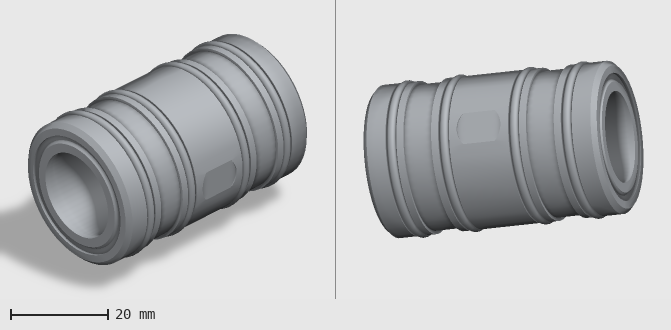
import cadquery as cq

length = 50.8
outer_radius = 15.9
bore_radius = 9.55
end_chamfer = 1.0

face_groove_outer_radius = 13.3
face_groove_inner_radius = 11.55
face_groove_taper = 0.55
face_groove_depth = 0.6

ring_section_diameter = 1.8
ring_section_radius = ring_section_diameter / 2
ring_outer_diameter = 32.65
ring_outer_radius = ring_outer_diameter / 2
ring_distances = (7.6, 19.1)
ring_centre_radius = ring_outer_radius - ring_section_radius
ring_groove_radius = ring_centre_radius - ring_section_radius
ring_groove_width = 2.4
ring_positions = [side * distance for side in (-1, 1) for distance in ring_distances]

waist_radius = 15.2
waist_width = 6.05
waist_distance = sum(ring_distances) / len(ring_distances)

spot_radius = 4.8
spot_depth = 0.35


def cylinder_on_y(radius, width, position):
    """Solid cylinder along Y whose middle is at the given Y position."""
    start = cq.Workplane("XZ", origin=(0, position + width / 2, 0))
    return start.circle(radius).extrude(width)


def outer_groove(floor_radius, width, position):
    """Ring of material to remove from the outside of the sleeve."""
    clearance_radius = outer_radius + end_chamfer
    blank = cylinder_on_y(clearance_radius, width, position)
    return blank.cut(cylinder_on_y(floor_radius, width, position))


def face_groove():
    """Groove cutter for the -Y end face, revolved about Y."""
    face = -length / 2
    floor = face + face_groove_depth
    profile = [
        (face_groove_inner_radius, face),
        (face_groove_outer_radius, face),
        (face_groove_outer_radius, floor),
        (face_groove_inner_radius + face_groove_taper, floor),
    ]
    return cq.Workplane("XY").polyline(profile).close().revolve(360, (0, 0, 0), (0, 1, 0))


def spot_face():
    """Disc cutter that leaves a round flat on the +X side."""
    floor = cq.Workplane("YZ", origin=(outer_radius - spot_depth, 0, 0))
    return floor.circle(spot_radius).extrude(2 * spot_depth)


def make_sleeve():
    body = cylinder_on_y(outer_radius, length, 0).faces("<Y or >Y").chamfer(end_chamfer)
    body = body.cut(cylinder_on_y(bore_radius, length, 0))
    for position in ring_positions:
        body = body.cut(outer_groove(ring_groove_radius, ring_groove_width, position))
    for position in (-waist_distance, waist_distance):
        body = body.cut(outer_groove(waist_radius, waist_width, position))
    end_groove = face_groove()
    body = body.cut(end_groove).cut(end_groove.mirror("XZ"))
    return body.cut(spot_face())


def make_o_ring(position):
    """O-ring around Y, resting on the floor of its groove."""
    return cq.Solid.makeTorus(
        ring_centre_radius,
        ring_section_radius,
        cq.Vector(0, position, 0),
        cq.Vector(0, 1, 0),
    )


sleeve = make_sleeve()
o_rings = [make_o_ring(position) for position in ring_positions]
result = cq.Compound.makeCompound([sleeve.val(), *o_rings])